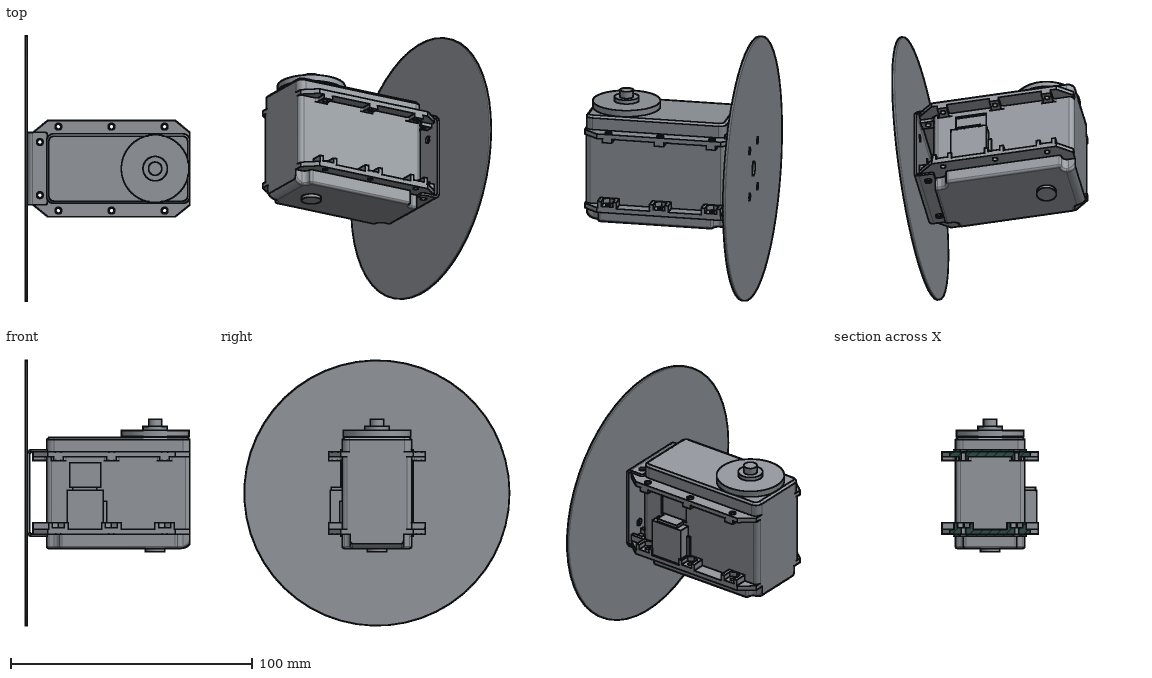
import cadquery as cq
import math

PLATE_DIAMETER = 110
SHEET = 1.0
PLATE_RIM_RADIUS = 0.2
CENTRE_HOLE = 6.0
PLATE_BOLT_HOLE = 3.0
PLATE_BOLT_PITCH_Y = 15.1
PLATE_BOLT_PITCH_Z = 20.0

BRACKET_HEIGHT = 36.0
BRACKET_WIDTH = 30.0
BRACKET_END_X = 9.2
BEND_RADIUS = 2.0
BRACKET_CORNER = 1.0

CASE_LEFT = 8.9
CASE_RIGHT = 68.3
CASE_WIDTH = 28.8
CASE_CORNER = 2.0
CASE_LENGTH = CASE_RIGHT - CASE_LEFT
CASE_MID_X = (CASE_LEFT + CASE_RIGHT) / 2
WALL_Y = CASE_WIDTH / 2

EAR_OUTER_Z = BRACKET_HEIGHT / 2 - SHEET
EAR_THICK = 2.0
EAR_INNER_Z = EAR_OUTER_Z - EAR_THICK
EAR_LEFT = 3.3
EAR_LENGTH = CASE_RIGHT - EAR_LEFT
EAR_MID_X = (EAR_LEFT + CASE_RIGHT) / 2
EAR_WIDTH = 40.0
EAR_CHAMFER_X = 6.2

SCREW_HOLE = 2.1
SCREW_MOUTH = 2.8
SIDE_HOLE_PITCH = 22.0
SIDE_HOLE_Y = 17.4
END_HOLE_X = 6.2
END_HOLE_Y = 11.0

SIDE_PLACES = [
    (EAR_MID_X + step * SIDE_HOLE_PITCH, side * SIDE_HOLE_Y, turn)
    for step in (-1, 0, 1)
    for side, turn in ((-1, 0), (1, 180))
]
END_PLACES = [(END_HOLE_X, side * END_HOLE_Y, -90) for side in (-1, 1)]
SIDE_REACH_OUT = EAR_WIDTH / 2 - SIDE_HOLE_Y
SIDE_REACH_IN = SIDE_HOLE_Y - WALL_Y
END_REACH_OUT = END_HOLE_X - EAR_LEFT
END_REACH_IN = CASE_LEFT - END_HOLE_X

UPPER_PAD_WIDTH = 4.0
UPPER_PAD_HEIGHT = 1.6
UPPER_PAD_FILLET = 1.0
LOWER_PAD_WIDTH = 8.0
LOWER_PAD_HEIGHT = 2.8
END_LOWER_REACH_IN = EAR_MID_X - SIDE_HOLE_PITCH - LOWER_PAD_WIDTH / 2 - END_HOLE_X
NUT_FLATS = 5.0
NUT_DEPTH = 2.1

CAP_END_Z = 23.0
CAP_HEIGHT = CAP_END_Z - EAR_OUTER_Z
UPPER_CAP_CORNER = 3.0
CAP_EDGE = 1.0
LOWER_CAP_CORNER = 1.0
STEP_INSET = 3.0
STEP_OUTER_RADIUS = 1.0
STEP_INNER_RADIUS = 2.3
HEEL_RUN = 3.8
HEEL_RISE = 2.0

SHAFT_X = 53.9
HORN_DIAMETER = 28.0
HORN_BOTTOM = 23.3
HORN_TOP = 26.0
HUB_DIAMETER = 10.1
HUB_TOP = 27.6
SHAFT_DIAMETER = 5.5
SHAFT_TOP = 30.6
BEARING_DIAMETER = 8.1
BEARING_END_Z = 24.4

SOCKET_LEFT = 17.5
SOCKET_RIGHT = 32.5
SOCKET_TOP = 1.1
SOCKET_DEPTH = 5.0
RIB_WIDTH = 1.3
RIB_TOP = -3.4
RIB_DEPTH = 1.0
NECK_LEFT = 19.8
NECK_RIGHT = 29.8
NECK_DEPTH = 4.4
WINDOW_LEFT = 18.5
WINDOW_RIGHT = 31.4
WINDOW_BOTTOM = 2.4
WINDOW_TOP = 12.4
WINDOW_DEPTH = 1.0


def block(x_range, y_range, z_range):
    """Box between the given limits."""
    sizes = [high - low for low, high in (x_range, y_range, z_range)]
    corner = (x_range[0], y_range[0], z_range[0])
    return cq.Workplane().box(*sizes, centered=False).translate(corner)


def upright_cylinder(x, y, diameter, bottom, top):
    """Cylinder along Z between two heights."""
    return cq.Workplane(origin=(x, y, bottom)).circle(diameter / 2).extrude(top - bottom)


def plate_bolt_holes():
    """Four cutters along X through the plate and the web of the bracket."""
    return (
        cq.Workplane("YZ")
        .rect(PLATE_BOLT_PITCH_Y, PLATE_BOLT_PITCH_Z, forConstruction=True)
        .vertices()
        .circle(PLATE_BOLT_HOLE / 2)
        .extrude(2 * SHEET)
    )


def ear_screw_hole(x, y):
    """Cutter along Z through both ears, countersunk at the top of the upper ear."""
    sink = (SCREW_MOUTH - SCREW_HOLE) / 2
    countersink = (
        cq.Workplane(origin=(x, y, EAR_OUTER_Z))
        .circle(SCREW_MOUTH / 2)
        .workplane(offset=-sink)
        .circle(SCREW_HOLE / 2)
        .loft()
    )
    return upright_cylinder(x, y, SCREW_HOLE, -EAR_OUTER_Z, EAR_OUTER_Z).union(countersink)


def make_plate():
    disc = cq.Workplane("YZ").circle(PLATE_DIAMETER / 2).extrude(SHEET).edges().fillet(PLATE_RIM_RADIUS)
    centre_hole = cq.Workplane("YZ").circle(CENTRE_HOLE / 2).extrude(SHEET)
    return disc.cut(centre_hole).cut(plate_bolt_holes())


def make_bracket():
    length = BRACKET_END_X - SHEET
    outside = (
        cq.Workplane()
        .box(length, BRACKET_WIDTH, BRACKET_HEIGHT)
        .translate((SHEET + length / 2, 0, 0))
        .edges("<X and |Y")
        .fillet(BEND_RADIUS)
    )
    inside = (
        cq.Workplane()
        .box(length, BRACKET_WIDTH, 2 * EAR_OUTER_Z)
        .translate((2 * SHEET + length / 2, 0, 0))
        .edges("<X and |Y")
        .fillet(BEND_RADIUS - SHEET)
    )
    bracket = outside.cut(inside).edges(">X and |Z").fillet(BRACKET_CORNER)
    for x, y, _ in END_PLACES:
        bracket = bracket.cut(upright_cylinder(x, y, SCREW_MOUTH, -BRACKET_HEIGHT / 2, BRACKET_HEIGHT / 2))
    return bracket.cut(upper_cap()).cut(lower_cap()).cut(plate_bolt_holes())


def main_case():
    return (
        cq.Workplane()
        .box(CASE_LENGTH, CASE_WIDTH, 2 * EAR_OUTER_Z)
        .translate((CASE_MID_X, 0, 0))
        .edges("|Z")
        .fillet(CASE_CORNER)
    )


def ear(bottom):
    """Flat ear plate with four cut corners, as wide as the bracket at its ends."""
    half_length = EAR_LENGTH / 2
    half_width = EAR_WIDTH / 2
    shoulder = half_length - EAR_CHAMFER_X
    half_end = BRACKET_WIDTH / 2
    outline = [
        (-half_length, -half_end),
        (-shoulder, -half_width),
        (shoulder, -half_width),
        (half_length, -half_end),
        (half_length, half_end),
        (shoulder, half_width),
        (-shoulder, half_width),
        (-half_length, half_end),
    ]
    return cq.Workplane(origin=(EAR_MID_X, 0, bottom)).polyline(outline).close().extrude(EAR_THICK)


def upper_pad(reach_out, reach_in):
    """Pad from the ear edge (-Y) to the case wall, flared by a concave rounding at the wall."""
    half = UPPER_PAD_WIDTH / 2
    radius = UPPER_PAD_FILLET
    return (
        cq.Workplane()
        .moveTo(-half, -reach_out)
        .lineTo(half, -reach_out)
        .lineTo(half, reach_in - radius)
        .radiusArc((half + radius, reach_in), radius)
        .lineTo(-half - radius, reach_in)
        .radiusArc((-half, reach_in - radius), radius)
        .close()
        .extrude(-UPPER_PAD_HEIGHT)
    )


def lower_pad(reach_out, reach_in):
    """Pad with a nut pocket that is open at the ear edge and pointed at the case side."""
    half = LOWER_PAD_WIDTH / 2
    pad = block((-half, half), (-reach_out, reach_in), (0, LOWER_PAD_HEIGHT))
    half_nut = NUT_FLATS / 2
    nut_point = NUT_FLATS / math.sqrt(3)
    pocket = (
        cq.Workplane(origin=(0, 0, LOWER_PAD_HEIGHT))
        .moveTo(-half_nut, -reach_out)
        .lineTo(half_nut, -reach_out)
        .lineTo(half_nut, nut_point / 2)
        .lineTo(0, nut_point)
        .lineTo(-half_nut, nut_point / 2)
        .close()
        .extrude(-NUT_DEPTH)
    )
    return pad.cut(pocket)


def place(pad, spot, height):
    """Turn a pad to face outwards and move it to its screw."""
    x, y, turn = spot
    return pad.rotate((0, 0, 0), (0, 0, 1), turn).translate((x, y, height))


def upper_cap():
    return (
        cq.Workplane(origin=(CASE_MID_X, 0, EAR_OUTER_Z))
        .rect(CASE_LENGTH, CASE_WIDTH)
        .extrude(CAP_HEIGHT)
        .edges("|Z")
        .fillet(UPPER_CAP_CORNER)
        .faces(">Z")
        .chamfer(CAP_EDGE)
    )


def lower_cap():
    """Cap with narrower ends, joined to the full width by S-shaped steps."""
    half_length = CASE_LENGTH / 2
    step_run = STEP_OUTER_RADIUS + STEP_INNER_RADIUS
    narrow_y = WALL_Y - step_run
    step_x = half_length - STEP_INSET
    bend_x = step_x - STEP_INNER_RADIUS
    bend_y = narrow_y + STEP_INNER_RADIUS
    wide_x = step_x - step_run
    half_outline = (
        cq.Workplane(origin=(CASE_MID_X, 0, -CAP_END_Z))
        .moveTo(-half_length, 0)
        .lineTo(-half_length, -narrow_y)
        .lineTo(-step_x, -narrow_y)
        .radiusArc((-bend_x, -bend_y), STEP_INNER_RADIUS)
        .radiusArc((-wide_x, -WALL_Y), -STEP_OUTER_RADIUS)
        .lineTo(wide_x, -WALL_Y)
        .radiusArc((bend_x, -bend_y), -STEP_OUTER_RADIUS)
        .radiusArc((step_x, -narrow_y), STEP_INNER_RADIUS)
        .lineTo(half_length, -narrow_y)
        .lineTo(half_length, 0)
    )
    cap = half_outline.mirrorX().extrude(CAP_HEIGHT).edges("<X and |Z").fillet(LOWER_CAP_CORNER)

    heel_radius = (HEEL_RUN**2 + HEEL_RISE**2) / (2 * HEEL_RISE)
    heel_end = (CASE_RIGHT, HEEL_RISE - CAP_END_Z)
    heel = (
        cq.Workplane("XZ")
        .moveTo(CASE_RIGHT - HEEL_RUN, -CAP_END_Z)
        .radiusArc(heel_end, -heel_radius)
        .lineTo(CASE_RIGHT, -CAP_END_Z)
        .close()
        .extrude(WALL_Y, both=True)
    )
    return cap.cut(heel).faces("<Z").edges("not(>X)").fillet(CAP_EDGE)


def output_shaft():
    """Horn on its hub, the shaft end above it, and the bearing under the lower cap."""
    hub = upright_cylinder(SHAFT_X, 0, HUB_DIAMETER, CAP_END_Z, HUB_TOP)
    horn = upright_cylinder(SHAFT_X, 0, HORN_DIAMETER, HORN_BOTTOM, HORN_TOP)
    shaft = upright_cylinder(SHAFT_X, 0, SHAFT_DIAMETER, HUB_TOP, SHAFT_TOP)
    bearing = upright_cylinder(SHAFT_X, 0, BEARING_DIAMETER, -BEARING_END_Z, -CAP_END_Z)
    return [hub, horn, shaft, bearing]


def connector():
    """Socket, side rib and neck standing on the -Y wall above the lower ear."""
    socket = block(
        (SOCKET_LEFT, SOCKET_RIGHT), (-WALL_Y - SOCKET_DEPTH, -WALL_Y), (-EAR_INNER_Z, SOCKET_TOP)
    )
    rib = block(
        (SOCKET_RIGHT, SOCKET_RIGHT + RIB_WIDTH), (-WALL_Y - RIB_DEPTH, -WALL_Y), (-EAR_INNER_Z, RIB_TOP)
    )
    neck = block((NECK_LEFT, NECK_RIGHT), (-WALL_Y - NECK_DEPTH, -WALL_Y), (SOCKET_TOP, WINDOW_BOTTOM))
    return [socket, rib, neck]


def window():
    """Shallow recess in the -Y wall above the connector."""
    return block(
        (WINDOW_LEFT, WINDOW_RIGHT), (-WALL_Y, WINDOW_DEPTH - WALL_Y), (WINDOW_BOTTOM, WINDOW_TOP)
    )


def make_servo():
    servo = main_case().cut(window())
    parts = [ear(EAR_INNER_Z), ear(-EAR_OUTER_Z), upper_cap(), lower_cap()]
    parts += output_shaft() + connector()
    for places, reach_out, upper_reach_in, lower_reach_in in (
        (SIDE_PLACES, SIDE_REACH_OUT, SIDE_REACH_IN, SIDE_REACH_IN),
        (END_PLACES, END_REACH_OUT, END_REACH_IN, END_LOWER_REACH_IN),
    ):
        for spot in places:
            parts.append(place(upper_pad(reach_out, upper_reach_in), spot, EAR_INNER_Z))
            parts.append(place(lower_pad(reach_out, lower_reach_in), spot, -EAR_INNER_Z))
    for part in parts:
        servo = servo.union(part)
    for x, y, _ in SIDE_PLACES + END_PLACES:
        servo = servo.cut(ear_screw_hole(x, y))
    return servo


plate = make_plate()
bracket = make_bracket()
servo = make_servo()

result = cq.Compound.makeCompound([plate.val(), bracket.val(), servo.val()])